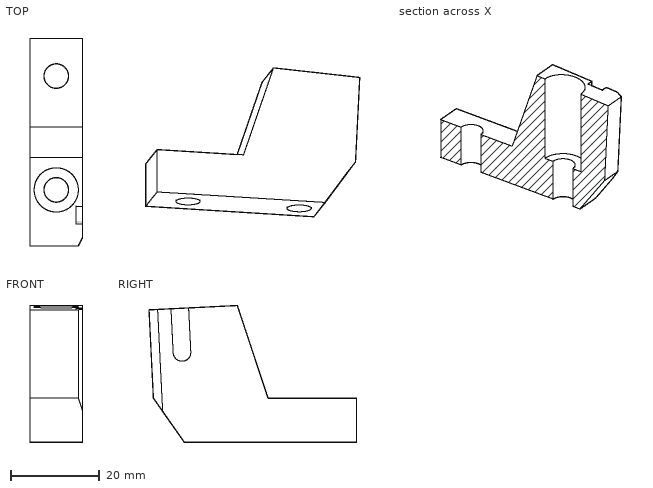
import cadquery as cq
import math

WIDTH = 12.0
LENGTH = 47.0
HEIGHT = 30.95

FOOT_HEIGHT = 10.0
FOOT_LENGTH = 20.0
HEAD_REAR = 27.0
HEAD_LEAN = 1.0
TOE_REAR = 39.0

HOLE_DIAMETER = 5.5
REAR_HOLE_FROM_END = 8.5
FRONT_HOLE_FROM_END = 34.25
COUNTERBORE_DIAMETER = 10.0

BEVEL_SIDE = 1.0
BEVEL_FRONT = 1.97

SLOT_WIDTH = 4.0
SLOT_DEPTH = 1.5
SLOT_STRAIGHT = 10.0
SLOT_CENTRE = 40.0

OVERLAP = 4.7

head_front_top = HEIGHT - HEAD_LEAN
head_front_bottom = LENGTH - HEAD_LEAN
lean_angle = math.degrees(math.atan2(HEAD_LEAN, head_front_top - FOOT_HEIGHT))


def make_body():
    """Rear foot and leaning front head, extruded across the width."""
    profile = [
        (0, 0),
        (0, FOOT_HEIGHT),
        (FOOT_LENGTH, FOOT_HEIGHT),
        (HEAD_REAR, HEIGHT),
        (LENGTH, head_front_top),
        (head_front_bottom, FOOT_HEIGHT),
        (TOE_REAR, 0),
    ]
    points = [(-y, z) for y, z in profile]
    return cq.Workplane("YZ").polyline(points).close().extrude(WIDTH)


def vertical_cylinder(diameter, from_end, bottom):
    """Cutter from the given level up past the top of the head."""
    return (
        cq.Workplane("XY", origin=(WIDTH / 2, -from_end, bottom))
        .circle(diameter / 2)
        .extrude(HEIGHT + OVERLAP - bottom)
    )


def lean(shape):
    """Incline an upright cutter about the front top edge of the head."""
    pivot = (0, -LENGTH, head_front_top)
    return shape.rotate(pivot, (1, -LENGTH, head_front_top), lean_angle)


def make_corner_bevel():
    """Triangular prism that runs along the leaning front edge."""
    prism = (
        cq.Workplane("XY", origin=(WIDTH, -LENGTH, -OVERLAP))
        .moveTo(-2 * BEVEL_SIDE, -BEVEL_FRONT)
        .lineTo(BEVEL_SIDE, 2 * BEVEL_FRONT)
        .lineTo(BEVEL_SIDE, -BEVEL_FRONT)
        .close()
        .extrude(HEIGHT + 2 * OVERLAP)
    )
    return lean(prism)


def make_side_slot():
    """Slot open at the top, closed below by a half round."""
    radius = SLOT_WIDTH / 2
    bottom = head_front_top - SLOT_STRAIGHT
    top = HEIGHT + OVERLAP
    slot = (
        cq.Workplane("YZ", origin=(WIDTH - SLOT_DEPTH, -SLOT_CENTRE, 0))
        .moveTo(-radius, top)
        .lineTo(-radius, bottom)
        .threePointArc((0, bottom - radius), (radius, bottom))
        .lineTo(radius, top)
        .close()
        .extrude(SLOT_DEPTH + OVERLAP)
    )
    return lean(slot)


result = make_body()
for from_end in (REAR_HOLE_FROM_END, FRONT_HOLE_FROM_END):
    result = result.cut(vertical_cylinder(HOLE_DIAMETER, from_end, -OVERLAP))
result = result.cut(vertical_cylinder(COUNTERBORE_DIAMETER, FRONT_HOLE_FROM_END, FOOT_HEIGHT))
result = result.cut(make_corner_bevel())
result = result.cut(make_side_slot())